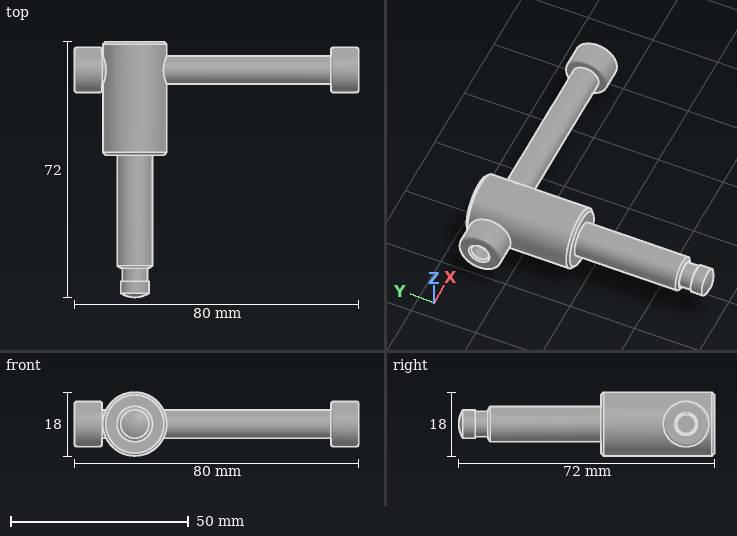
import cadquery as cq

overall_length_x = 80.0
overall_length_y = 72.0

head_diameter = 18.0
head_length = 32.0
head_chamfer = 0.8
handle_to_head_end = 8.0

shank_diameter = 10.0
shank_length = 31.8
shank_chamfer_length = 0.6
neck_diameter = 7.2
neck_length = 3.6
tip_diameter = 8.0
dome_height = 1.2

handle_diameter = 8.0
knob_diameter = 12.8
knob_length = 7.8
knob_clearance = 0.2
knob_fillet = 0.8
bore_diameter = 5.4
bore_mouth_diameter = 6.4
bore_depth = knob_length

head_rear_y = handle_to_head_end
head_front_y = head_rear_y - head_length
shank_end_y = head_front_y - shank_length
neck_end_y = shank_end_y - neck_length
tip_end_y = head_rear_y - overall_length_y
dome_start_y = tip_end_y + dome_height
left_end_x = -head_diameter / 2 - knob_clearance - knob_length
right_end_x = left_end_x + overall_length_x


def make_head():
    """Cylinder with both rims chamfered."""
    head = cq.Workplane("XZ", origin=(0, head_rear_y, 0)).circle(head_diameter / 2).extrude(head_length)
    return head.faces("<Y or >Y").chamfer(head_chamfer)


def make_shank():
    """Shank, neck and domed tip about the Y axis; the shank tapers to the tip diameter."""
    shank_radius = shank_diameter / 2
    neck_radius = neck_diameter / 2
    tip_radius = tip_diameter / 2
    dome_radius = (tip_radius**2 + dome_height**2) / (2 * dome_height)
    mid_x = tip_radius / 2
    mid_y = tip_end_y + dome_radius - (dome_radius**2 - mid_x**2) ** 0.5
    return (
        cq.Workplane("XY")
        .moveTo(0, 0)
        .lineTo(shank_radius, 0)
        .lineTo(shank_radius, shank_end_y + shank_chamfer_length)
        .lineTo(tip_radius, shank_end_y)
        .lineTo(neck_radius, shank_end_y)
        .lineTo(neck_radius, neck_end_y)
        .lineTo(tip_radius, neck_end_y)
        .lineTo(tip_radius, dome_start_y)
        .threePointArc((mid_x, mid_y), (0, tip_end_y))
        .close()
        .revolve(360, (0, 0), (0, 1))
    )


def make_handle():
    """Plain rod running from one knob to the other."""
    return (
        cq.Workplane("YZ", origin=(left_end_x + knob_length / 2, 0, 0))
        .circle(handle_diameter / 2)
        .extrude(overall_length_x - knob_length)
    )


def make_knob(end_x, inward):
    """Rounded cylinder from end_x; inward is +1 or -1, its direction along X."""
    knob = cq.Workplane("YZ", origin=(end_x, 0, 0)).circle(knob_diameter / 2).extrude(inward * knob_length)
    return knob.faces("<X or >X").edges().fillet(knob_fillet)


def make_bore(end_x, inward):
    """Blind bore with a countersunk mouth in the outer face of a knob."""
    bore_radius = bore_diameter / 2
    mouth_radius = bore_mouth_diameter / 2
    countersink_depth = mouth_radius - bore_radius
    countersink_end_x = end_x + inward * countersink_depth
    bore_end_x = end_x + inward * bore_depth
    return (
        cq.Workplane("XY")
        .moveTo(end_x, 0)
        .lineTo(end_x, mouth_radius)
        .lineTo(countersink_end_x, bore_radius)
        .lineTo(bore_end_x, bore_radius)
        .lineTo(bore_end_x, 0)
        .close()
        .revolve(360, (0, 0), (1, 0))
    )


result = make_head().union(make_shank()).union(make_handle())
for end_x, inward in ((left_end_x, 1), (right_end_x, -1)):
    result = result.union(make_knob(end_x, inward))
    result = result.cut(make_bore(end_x, inward))